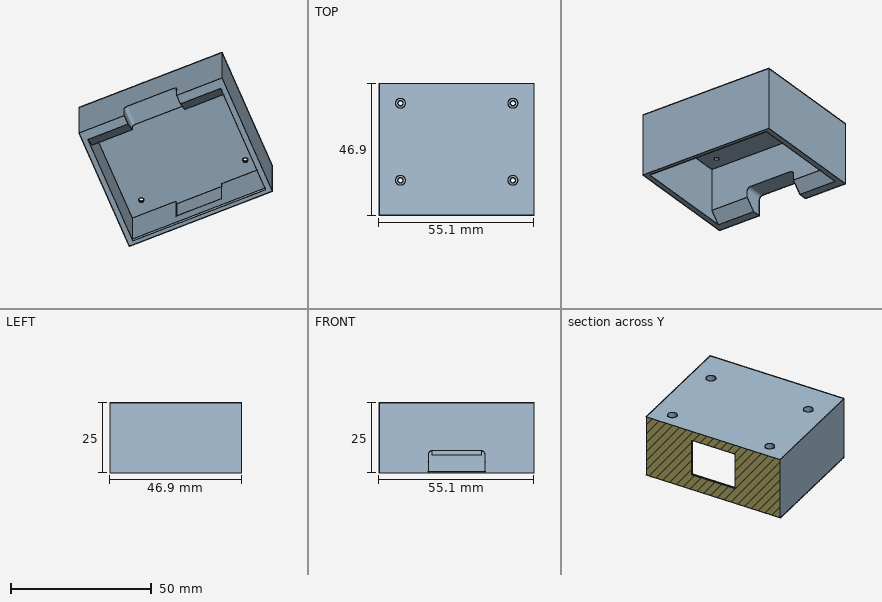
import cadquery as cq

LENGTH = 55.1
WIDTH = 46.88
HEIGHT = 25.0
FRONT_Y = -WIDTH / 2
BACK_Y = WIDTH / 2

SIDE_WALL = 2.0
BACK_WALL = 2.0
ROOF = 4.0
FRONT_RIM = 3.5
FRONT_SLOPE = 4.0
BACK_LEAD_IN = 0.5
CAVITY_LENGTH = LENGTH - 2 * SIDE_WALL
CEILING_Z = HEIGHT - ROOF

NOTCH_WIDTH = 20.2
NOTCH_HEIGHT = 8.0
NOTCH_RADIUS = 1.5

RECESS_WIDTH = 17.6
RECESS_BOTTOM_Z = 6.5
RECESS_DEPTH = 1.0

HOLE_SPACING_X = 40.0
HOLE_SPACING_Y = 27.4
HOLE_CENTRE_Y = 2.7
HOLE_DIAMETER = 1.8
COUNTERBORE_DIAMETER = 3.5
COUNTERBORE_DEPTH = 3.0


def box_between(width, y_start, y_end, z_start, z_end):
    """Box centred on X, spanning the given Y and Z ranges."""
    depth = y_end - y_start
    height = z_end - z_start
    base = cq.Workplane("XY").box(width, depth, height, centered=(True, False, False))
    return base.translate((0, y_start, z_start))


def cavity():
    """Interior space: a YZ profile with a sloped front wall, extruded along X."""
    front_rim_y = FRONT_Y + FRONT_RIM
    front_inner_y = front_rim_y + FRONT_SLOPE
    back_inner_y = BACK_Y - BACK_WALL
    profile = [
        (front_rim_y, 0),
        (front_inner_y, FRONT_SLOPE),
        (front_inner_y, CEILING_Z),
        (back_inner_y, CEILING_Z),
        (back_inner_y, BACK_LEAD_IN),
        (back_inner_y + BACK_LEAD_IN, 0),
    ]
    return cq.Workplane("YZ").polyline(profile).close().extrude(CAVITY_LENGTH / 2, both=True)


def front_notch():
    """Opening through the front wall, with rounded upper corners."""
    notch = box_between(NOTCH_WIDTH, FRONT_Y, FRONT_Y + FRONT_RIM + FRONT_SLOPE, 0, NOTCH_HEIGHT)
    return notch.edges("|Y and >Z").fillet(NOTCH_RADIUS)


def back_recess():
    """Recess in the back wall, reaching up to the ceiling."""
    inner_y = BACK_Y - BACK_WALL
    return box_between(RECESS_WIDTH, inner_y, inner_y + RECESS_DEPTH, RECESS_BOTTOM_Z, CEILING_Z)


def drill_screw_holes(body):
    """Four counterbored holes entering from the top face."""
    return (
        body.faces(">Z")
        .workplane(origin=(0, HOLE_CENTRE_Y, HEIGHT))
        .rarray(HOLE_SPACING_X, HOLE_SPACING_Y, 2, 2)
        .cboreHole(HOLE_DIAMETER, COUNTERBORE_DIAMETER, COUNTERBORE_DEPTH)
    )


block = box_between(LENGTH, FRONT_Y, BACK_Y, 0, HEIGHT)
shell = block.cut(cavity()).cut(front_notch()).cut(back_recess())
result = drill_screw_holes(shell)